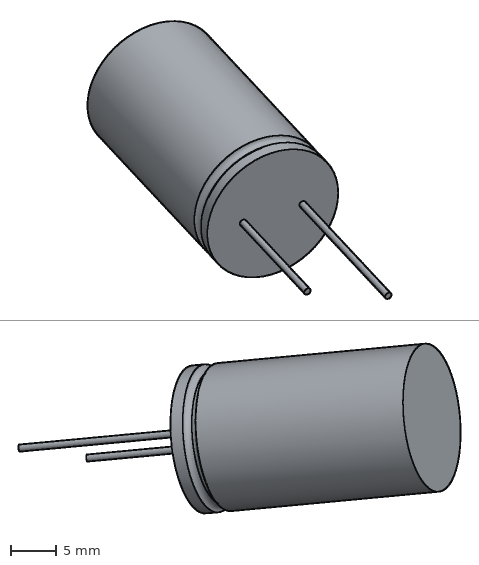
import cadquery as cq


case_radius = 8.25
case_length = 28.0
groove_radius = 0.75
groove_center = 25.75
groove_floor_radius = case_radius - groove_radius

total_length = 48.0
lead_radius = 0.41
lead_pitch = 7.5
long_lead_length = total_length - case_length
short_lead_length = 15.05

quarter_arc_offset = groove_radius * 0.5 ** 0.5


def case_section(end_x, side):
    """Revolve the piece of the case from the middle of the groove to the flat face at end_x.

    side is -1 for the piece below the groove in X and +1 for the piece above it.
    """
    arc_middle = (groove_center + side * quarter_arc_offset, case_radius - quarter_arc_offset)
    return (
        cq.Workplane("XY")
        .moveTo(end_x, 0)
        .lineTo(end_x, case_radius)
        .lineTo(groove_center + side * groove_radius, case_radius)
        .threePointArc(arc_middle, (groove_center, groove_floor_radius))
        .lineTo(groove_center, 0)
        .close()
        .revolve(360, (0, 0, 0), (1, 0, 0))
    )


def lead(y, length):
    """Straight round wire standing on the end face of the case."""
    return (
        cq.Workplane("YZ", origin=(case_length, y, 0))
        .circle(lead_radius)
        .extrude(length)
    )


can = case_section(0, -1)
end_cap = case_section(case_length, 1)

lead_layout = [
    (lead_pitch / 2, long_lead_length),
    (-lead_pitch / 2, short_lead_length),
]
leads = [lead(y, length) for y, length in lead_layout]

result = cq.Compound.makeCompound([can.val(), end_cap.val(), *[wire.val() for wire in leads]])